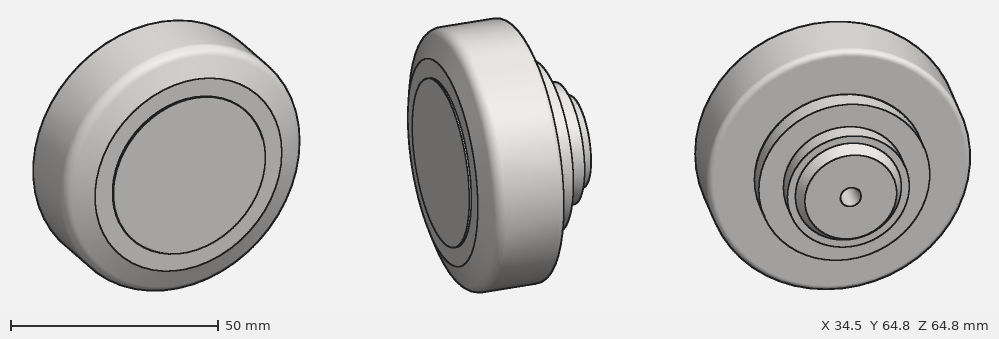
import cadquery as cq
import math

width = 34.5
tread_radius = 32.4

nose_length = 3.0
step_length = 5.0
flange_length = 5.5
gap_length = 0.5
rim_gap = 0.5
step_start = nose_length
flange_start = step_start + step_length
hub_start = flange_start + flange_length
rim_start = hub_start + gap_length
rim_end = width - rim_gap

nose_tip_radius = 11.3
nose_base_radius = 13.0
step_radius = 14.95
flange_radius = 21.0
hub_radius = 20.7

near_fillet = 1.5
bevel_inner_radius = 25.4
bevel_angle = math.radians(21.5)
far_fillet = 2.9

hole_radius = 2.5
hole_depth = 9.7


def disc(start, end, radius):
    """Solid cylinder on the X axis between two stations."""
    return cq.Workplane("YZ", origin=(start, 0, 0)).circle(radius).extrude(end - start)


def make_nose():
    """Tapered end of the hub."""
    profile = [
        (0, 0),
        (0, nose_tip_radius),
        (nose_length, nose_base_radius),
        (nose_length, 0),
    ]
    return cq.Workplane("XY").polyline(profile).close().revolve(360, (0, 0, 0), (1, 0, 0))


def make_rim():
    """Wheel rim: rounded near edge, and a bevel blended into the tread on the far side."""
    arc_center_radius = tread_radius - far_fillet
    bevel_outer_radius = arc_center_radius + far_fillet * math.sin(bevel_angle)
    bevel_start = rim_end - (bevel_outer_radius - bevel_inner_radius) * math.tan(bevel_angle)
    arc_center_x = bevel_start - far_fillet * math.cos(bevel_angle)
    middle_angle = (math.pi / 2 + bevel_angle) / 2
    arc_middle = (
        arc_center_x + far_fillet * math.cos(middle_angle),
        arc_center_radius + far_fillet * math.sin(middle_angle),
    )
    near_diagonal = near_fillet * (1 - math.sqrt(0.5))
    return (
        cq.Workplane("XY")
        .moveTo(rim_start, 0)
        .lineTo(rim_start, tread_radius - near_fillet)
        .threePointArc(
            (rim_start + near_diagonal, tread_radius - near_diagonal),
            (rim_start + near_fillet, tread_radius),
        )
        .lineTo(arc_center_x, tread_radius)
        .threePointArc(arc_middle, (bevel_start, bevel_outer_radius))
        .lineTo(rim_end, bevel_inner_radius)
        .lineTo(rim_end, 0)
        .close()
        .revolve(360, (0, 0, 0), (1, 0, 0))
    )


step = disc(step_start, flange_start, step_radius)
flange = disc(flange_start, hub_start, flange_radius)
hub = disc(hub_start, width, hub_radius)
center_hole = disc(0, hole_depth, hole_radius)

result = make_nose().union(step).union(flange).union(hub).union(make_rim()).cut(center_hole)